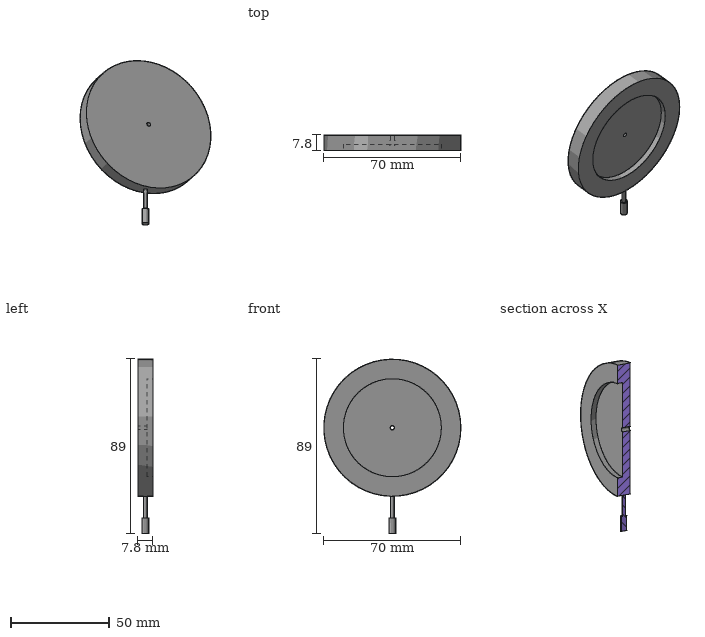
import cadquery as cq

housing_diameter = 70.0
housing_thickness = 7.8
recess_diameter = 50.0
recess_depth = 3.0
center_hole_diameter = 2.0

overall_height = 89.0
cable_diameter = 2.0
plug_diameter = 3.5
plug_length = 8.0

front_y = -housing_thickness / 2
rim_bottom_z = -housing_diameter / 2
cable_length = overall_height - housing_diameter - plug_length


def make_housing():
    """Disc with a round recess in its -Y face and a through hole in the middle."""
    front_plane = cq.Workplane("XZ", origin=(0, front_y, 0))
    disc = front_plane.circle(housing_diameter / 2).extrude(-housing_thickness)
    recess = front_plane.circle(recess_diameter / 2).extrude(-recess_depth)
    center_hole = front_plane.circle(center_hole_diameter / 2).extrude(-housing_thickness)
    return disc.cut(recess).cut(center_hole)


def make_cable():
    """Cable and plug in one piece, reaching straight down from the rim."""
    rim_plane = cq.Workplane("XY", origin=(0, 0, rim_bottom_z))
    cable = rim_plane.circle(cable_diameter / 2).extrude(-cable_length)
    plug_plane = rim_plane.workplane(offset=-cable_length)
    plug = plug_plane.circle(plug_diameter / 2).extrude(-plug_length, combine=False)
    return cable.union(plug)


housing = make_housing()
cable = make_cable()

result = cq.Compound.makeCompound([*housing.vals(), *cable.vals()])